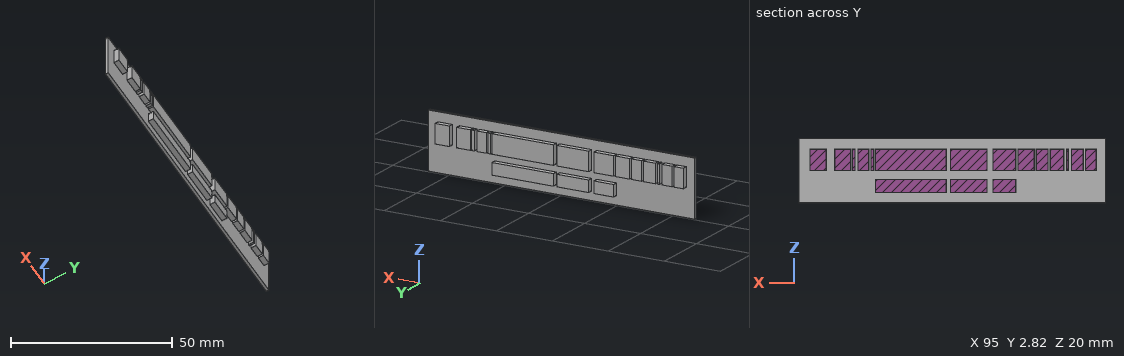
import cadquery as cq

plate_length = 95.0
plate_height = 20.0
plate_thickness = 1.0

overall_depth = 2.82
relief_height = overall_depth - plate_thickness

upper_row_bottom = 10.0
upper_row_top = 16.7
lower_row_bottom = 3.2
lower_row_top = 7.3

outer_left_spans = [
    (2.9, 6.3),
    (6.9, 10.6),
    (11.5, 12.1),
    (12.9, 17.2),
    (17.8, 21.5),
    (22.1, 27.2),
]
middle_spans = [
    (27.8, 34.9),
    (36.7, 48.1),
    (49.3, 71.3),
]
outer_right_spans = [
    (71.8, 72.7),
    (73.3, 76.7),
    (77.6, 78.5),
    (79.0, 83.9),
    (86.5, 91.6),
]


def make_plate():
    return cq.Workplane("XY").box(plate_length, plate_thickness, plate_height, centered=False)


def add_row(body, spans, bottom, top):
    """Fuse one block per X span onto the back face of the plate."""
    for start, end in spans:
        block = (
            cq.Workplane("XY")
            .box(end - start, relief_height, top - bottom, centered=False)
            .translate((start, plate_thickness, bottom))
        )
        body = body.union(block)
    return body


upper_row_spans = outer_left_spans + middle_spans + outer_right_spans

plate = make_plate()
with_upper_row = add_row(plate, upper_row_spans, upper_row_bottom, upper_row_top)
result = add_row(with_upper_row, middle_spans, lower_row_bottom, lower_row_top)